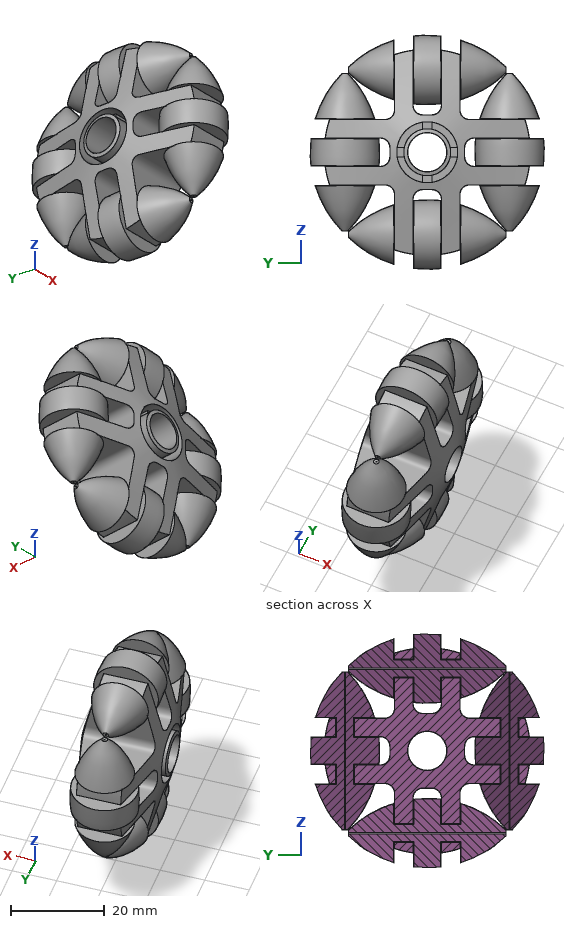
import cadquery as cq
import math

WHEEL_RADIUS = 25.0
HUB_RADIUS = 22.0
BORE_RADIUS = 4.15
HUB_HALF_WIDTH = 9.75
FACE_SLOPE = 15.0

SLOT_WIDTH = 6.0
SLOT_FLOOR = 8.0
ARM_OUTER_FACE = 7.0
CORNER_RADIUS = 2.0

GROOVE_INNER_RADIUS = 5.0
GROOVE_OUTER_RADIUS = 6.5
GROOVE_FLOOR_X = 0.0
KEY_WIDTH = 2.0
KEY_TOP_X = -6.0

ROLLER_COUNT = 4
ROLLER_RADIUS = 7.45
CROWN_RADIUS = 24.15
ROLLER_GAP = 0.1
TIP_FACE = 16.85
AXIAL_HOLE_RADIUS = 0.1
JOURNAL_RADIUS = 1.9
JOURNAL_BORE_RADIUS = 2.0

ROLLER_AXIS = WHEEL_RADIUS - ROLLER_RADIUS
RIM_HALF_WIDTH = HUB_HALF_WIDTH - (HUB_RADIUS - BORE_RADIUS) * math.tan(math.radians(FACE_SLOPE))


def turn(shape, index):
    """Turn a shape about the wheel axis to one of the evenly spaced roller stations."""
    return shape.rotate((0, 0, 0), (1, 0, 0), index * 360.0 / ROLLER_COUNT)


def box_along_x(y_range, z_range, x_range):
    """Box spanning the given ranges."""
    return (
        cq.Workplane("XY")
        .box(x_range[1] - x_range[0], y_range[1] - y_range[0], z_range[1] - z_range[0], centered=False)
        .translate((x_range[0], y_range[0], z_range[0]))
    )


def hub_blank():
    """Disc with a bore and two conical faces, revolved about X."""
    return (
        cq.Workplane("XY")
        .polyline(
            [
                (-HUB_HALF_WIDTH, BORE_RADIUS),
                (-RIM_HALF_WIDTH, HUB_RADIUS),
                (RIM_HALF_WIDTH, HUB_RADIUS),
                (HUB_HALF_WIDTH, BORE_RADIUS),
            ]
        )
        .close()
        .revolve(360, (0, 0, 0), (1, 0, 0))
    )


def roller_slot():
    """Slot for the middle of the +Z roller, with rounded floor corners."""
    half = SLOT_WIDTH / 2
    return (
        box_along_x((-half, half), (SLOT_FLOOR, WHEEL_RADIUS), (-HUB_HALF_WIDTH, HUB_HALF_WIDTH))
        .edges("|X and <Z")
        .fillet(CORNER_RADIUS)
    )


def corner_pocket():
    """Open corner between two neighbouring arm pairs, with a rounded inner corner."""
    span = (ARM_OUTER_FACE, WHEEL_RADIUS)
    return (
        box_along_x(span, span, (-HUB_HALF_WIDTH, HUB_HALF_WIDTH))
        .edges("|X and <Y and <Z")
        .fillet(CORNER_RADIUS)
    )


def journal_bore():
    """Hole through the +Z arm pair for the roller journals."""
    return (
        cq.Workplane("XZ", origin=(0, ARM_OUTER_FACE, ROLLER_AXIS))
        .circle(JOURNAL_BORE_RADIUS)
        .extrude(2 * ARM_OUTER_FACE)
    )


def ring_groove():
    """Ring groove in the -X face, with a key left standing at each station."""
    groove = (
        cq.Workplane("YZ", origin=(-HUB_HALF_WIDTH, 0, 0))
        .circle(GROOVE_OUTER_RADIUS)
        .circle(GROOVE_INNER_RADIUS)
        .extrude(GROOVE_FLOOR_X + HUB_HALF_WIDTH)
    )
    key = box_along_x(
        (-KEY_WIDTH / 2, KEY_WIDTH / 2), (0, WHEEL_RADIUS), (KEY_TOP_X, GROOVE_FLOOR_X)
    )
    for index in range(ROLLER_COUNT):
        groove = groove.cut(turn(key, index))
    return groove


def make_hub():
    hub = hub_blank()
    for index in range(ROLLER_COUNT):
        for opening in (roller_slot(), corner_pocket(), journal_bore()):
            hub = hub.cut(turn(opening, index))
    return hub.cut(ring_groove())


def barrel_radius(y):
    """Radius of the barrel at distance y from the roller's middle."""
    return ROLLER_RADIUS - CROWN_RADIUS + math.sqrt(CROWN_RADIUS**2 - y**2)


def make_roller(index):
    """Barrel roller necked down to a journal where it passes through each arm."""
    middle_end = SLOT_WIDTH / 2 - ROLLER_GAP
    cone_start = ARM_OUTER_FACE + ROLLER_GAP
    cone_mid = (cone_start + TIP_FACE) / 2
    roller = (
        cq.Workplane("YX")
        .moveTo(-TIP_FACE, AXIAL_HOLE_RADIUS)
        .lineTo(-TIP_FACE, barrel_radius(TIP_FACE))
        .threePointArc((-cone_mid, barrel_radius(cone_mid)), (-cone_start, barrel_radius(cone_start)))
        .lineTo(-cone_start, JOURNAL_RADIUS)
        .lineTo(-middle_end, JOURNAL_RADIUS)
        .lineTo(-middle_end, barrel_radius(middle_end))
        .threePointArc((0, ROLLER_RADIUS), (middle_end, barrel_radius(middle_end)))
        .lineTo(middle_end, JOURNAL_RADIUS)
        .lineTo(cone_start, JOURNAL_RADIUS)
        .lineTo(cone_start, barrel_radius(cone_start))
        .threePointArc((cone_mid, barrel_radius(cone_mid)), (TIP_FACE, barrel_radius(TIP_FACE)))
        .lineTo(TIP_FACE, AXIAL_HOLE_RADIUS)
        .close()
        .revolve(360, (0, 0, 0), (1, 0, 0))
        .translate((0, 0, ROLLER_AXIS))
    )
    return turn(roller, index)


hub = make_hub()
rollers = [make_roller(index) for index in range(ROLLER_COUNT)]
result = cq.Compound.makeCompound([hub.val(), *[roller.val() for roller in rollers]])